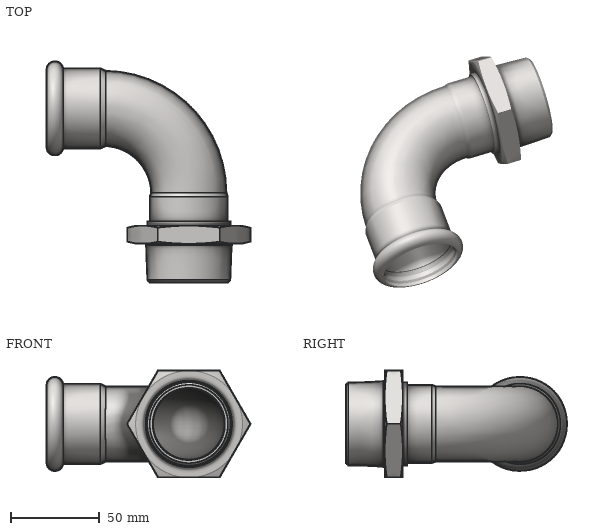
import cadquery as cq
import math

overall_x = 114.7
overall_y = 124.4
hex_across_flats = 60.0
hex_across_corners = hex_across_flats / math.cos(math.pi / 6)
bead_radius = 4.7
bead_center_r = 21.8
bend_x = overall_x - hex_across_corners / 2
socket_y = overall_y - (bead_center_r + bead_radius)

tube_dia = 42.4
tube_bore = 40.0
bend_radius = 47.8
bend_start_x = bend_x - bend_radius
bend_end_y = socket_y - bend_radius

socket_dia = 45.4
socket_bore = 42.4
mouth_bore = 44.0
mouth_depth = 9.3
seal_bore = 42.7
seal_start = 2.1
seal_crest_start = 3.4
seal_crest_end = 6.1
seal_end = 6.8
socket_taper_start = 30.1
socket_taper_end = 33.2
socket_bore_depth = socket_taper_start

thread_bore = 40.7
thread_tip_dia = 46.8
thread_root_dia = 48.2
tip_chamfer = 1.5
thread_face_dia = 44.0
thread_end = 20.9
neck_dia = 48.7
hex_start = 21.9
hex_end = 32.0
hex_edge_drop = 1.1
collar_dia = 47.0
collar_end = 34.6
sleeve_dia = 44.0
sleeve_end = 48.2
sleeve_taper_end = 50.5
thread_bore_depth = hex_end


def revolve_x(profile):
    """Revolve an (axial, radial) profile about the socket axis."""
    return profile.close().revolve(360, (0, 0, 0), (1, 0, 0)).translate((0, socket_y, 0))


def cylinder_y(diameter, start, end):
    """Cylinder on the threaded-end axis between two Y positions."""
    plane = cq.Plane(origin=(bend_x, start, 0), xDir=(1, 0, 0), normal=(0, 1, 0))
    return cq.Workplane(plane).circle(diameter / 2).extrude(end - start)


def revolve_y(points):
    """Revolve (radial, axial) points about the threaded-end axis."""
    profile = cq.Workplane("XY").polyline(points).close()
    return profile.revolve(360, (0, 0, 0), (0, 1, 0)).translate((bend_x, 0, 0))


def bent_rod(diameter):
    """Quarter bend between the socket axis and the threaded-end axis."""
    start = cq.Workplane("YZ", origin=(bend_start_x, socket_y, 0))
    return start.circle(diameter / 2).revolve(90, (-bend_radius, 1.2, 0), (-bend_radius, 0, 0))


def make_socket_body():
    """Socket outside: rolled bead, cylinder and taper down to the tube."""
    socket_r = socket_dia / 2
    bead_end = bead_radius + math.sqrt(bead_radius**2 - (socket_r - bead_center_r)**2)
    return revolve_x(
        cq.Workplane("XY").lineTo(0, bead_center_r)
        .threePointArc((bead_radius, bead_center_r + bead_radius), (bead_end, socket_r))
        .lineTo(socket_taper_start, socket_r)
        .lineTo(socket_taper_end, tube_dia / 2)
        .lineTo(socket_taper_end, 0)
    )


def make_socket_bore():
    """Socket inside: mouth with a seal ring, the tube seat and the start of the tube bore."""
    mouth_r = mouth_bore / 2
    seal_r = seal_bore / 2
    return revolve_x(
        cq.Workplane("XY").lineTo(0, mouth_r)
        .lineTo(seal_start, mouth_r)
        .lineTo(seal_crest_start, seal_r)
        .lineTo(seal_crest_end, seal_r)
        .lineTo(seal_end, mouth_r)
        .lineTo(mouth_depth, mouth_r)
        .lineTo(mouth_depth, socket_bore / 2)
        .lineTo(socket_bore_depth, socket_bore / 2)
        .lineTo(socket_bore_depth, tube_bore / 2)
        .lineTo(bend_start_x, tube_bore / 2)
        .lineTo(bend_start_x, 0)
    )


def make_threaded_end():
    """Thread blank, neck, collar and sleeve."""
    return revolve_y([
        (0, 0),
        (thread_face_dia / 2, 0),
        (thread_tip_dia / 2, tip_chamfer),
        (thread_root_dia / 2, thread_end),
        (neck_dia / 2, thread_end),
        (neck_dia / 2, hex_start),
        (collar_dia / 2, hex_start),
        (collar_dia / 2, collar_end),
        (sleeve_dia / 2, collar_end),
        (sleeve_dia / 2, sleeve_end),
        (tube_dia / 2, sleeve_taper_end),
        (0, sleeve_taper_end),
    ])


def make_hexagon():
    """Wrench hexagon with its corners chamfered on both faces."""
    plane = cq.Plane(origin=(bend_x, hex_start, 0), xDir=(1, 0, 0), normal=(0, 1, 0))
    prism = cq.Workplane(plane).polygon(6, hex_across_corners).extrude(hex_end - hex_start)
    face_r = hex_across_flats / 2
    corner_r = hex_across_corners / 2
    envelope = revolve_y([
        (0, hex_start),
        (face_r, hex_start),
        (corner_r, hex_start + hex_edge_drop),
        (corner_r, hex_end - hex_edge_drop),
        (face_r, hex_end),
        (0, hex_end),
    ])
    return prism.intersect(envelope)


body = (
    bent_rod(tube_dia)
    .union(make_socket_body())
    .union(make_threaded_end())
    .union(make_hexagon())
)
result = (
    body.cut(bent_rod(tube_bore))
    .cut(make_socket_bore())
    .cut(cylinder_y(tube_bore, 0, bend_end_y))
    .cut(cylinder_y(thread_bore, 0, thread_bore_depth))
)